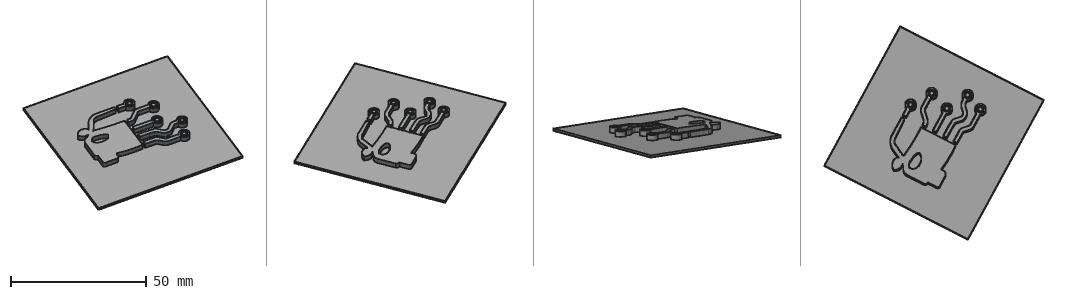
import cadquery as cq
import math

plate_side = 60
plate_thickness = 0.9

overall_height = 2.95
relief_height = overall_height - plate_thickness

trace_width = 1.5
trace_end_y = 0.1
bend_radius = 2.1
pad_radius = 2.05
groove_outer_radius = 1.3
groove_inner_radius = 0.85

outer_left_pad = (-12.4, 5.0)
middle_pad = (0.1, 9.95)

left_pad = (-7.55, 12.5)
left_bends = [(-7.75, 5.45), (-4.25, 2.0)]
tall_pad = (4.5, 18.05)
tall_bends = [(4.5, 14.15), (7.1, 11.6), (7.1, 9.35), (4.7, 6.95), (4.5, 4.2)]
right_pad = (11.2, 15.5)
right_bends = [(11.35, 7.75), (8.8, 5.2)]

body_top_y = -0.9
body_left_x = -5.0
body_right_x = 9.55
body_bottom_y = -19.3
socket_top_y = -11.6
socket_bottom_y = -18.25
socket_right_x = 11.6
hose_left_x = -13.15
hose_inner_x = -11.5
hose_tip_width = 1.25

opening_points = [
    (-0.8, -9.85),
    (0.65, -11.2),
    (1.1, -13.55),
    (0.6, -15.6),
    (-0.8, -16.5),
    (-2.2, -15.65),
    (-2.4, -13.2),
    (-2.0, -11.05),
]


def rounded_path(points, radius):
    """Polyline whose corners are replaced by tangent arcs."""
    path = cq.Workplane("XY", origin=(0, 0, plate_thickness)).moveTo(*points[0])
    for before, corner, after in zip(points, points[1:], points[2:]):
        angle_in = math.atan2(corner[1] - before[1], corner[0] - before[0])
        angle_out = math.atan2(after[1] - corner[1], after[0] - corner[0])
        setback = radius * math.tan(abs(angle_out - angle_in) / 2)
        arc_start = (corner[0] - setback * math.cos(angle_in), corner[1] - setback * math.sin(angle_in))
        arc_end = (corner[0] + setback * math.cos(angle_out), corner[1] + setback * math.sin(angle_out))
        path = path.lineTo(*arc_start).tangentArcPoint(arc_end, relative=False)
    return path.lineTo(*points[-1])


def trace(pad_center, bends=()):
    """Constant-width strip with a pad that carries an annular groove."""
    pad_x, pad_y = pad_center
    start_x = bends[0][0] if bends else pad_x
    end_x = bends[-1][0] if bends else pad_x
    path = rounded_path([(start_x, pad_y), *bends, (end_x, trace_end_y)], bend_radius)
    strip = (
        cq.Workplane("XZ", origin=(start_x, pad_y, plate_thickness))
        .center(0, relief_height / 2)
        .rect(trace_width, relief_height)
        .sweep(path)
    )
    base = cq.Workplane("XY", origin=(pad_x, pad_y, plate_thickness))
    pad = base.circle(pad_radius).extrude(relief_height)
    groove = base.circle(groove_outer_radius).circle(groove_inner_radius).extrude(relief_height)
    return strip.union(pad).cut(groove)


def plug_body():
    """Tapered body with a side socket, a foot and a hose, cut by an egg-shaped opening."""
    outline = (
        cq.Workplane("XY", origin=(0, 0, plate_thickness))
        .moveTo(body_left_x, body_top_y)
        .lineTo(body_right_x, body_top_y)
        .threePointArc((9.5, -8.1), (9.05, socket_top_y))
        .lineTo(10.45, socket_top_y)
        .threePointArc((11.3, -12.1), (socket_right_x, -13.2))
        .lineTo(socket_right_x, -17.15)
        .threePointArc((11.45, -17.9), (10.9, socket_bottom_y))
        .lineTo(7.15, socket_bottom_y)
        .threePointArc((6.8, -18.9), (6.1, body_bottom_y))
        .lineTo(-1.2, body_bottom_y)
        .threePointArc((-3, -18.5), (-3.8, -17.15))
        .lineTo(-4.5, -16.4)
        .threePointArc((-4.9, -18.85), (-6.25, -19.85))
        .threePointArc((-7.6, -18.65), (-8.1, -16.8))
        .threePointArc((-7.75, -15.65), (-6.95, -14.9))
        .lineTo(-10.5, -13.1)
        .threePointArc((-12.25, -11.35), (hose_left_x, -9.2))
        .lineTo(hose_left_x, body_top_y)
        .lineTo(hose_left_x + hose_tip_width, body_top_y)
        .lineTo(hose_inner_x, -8.6)
        .threePointArc((-11.3, -9.95), (-10.4, -11.0))
        .lineTo(-5.6, -13.55)
        .threePointArc((-5.1, -8.1), (body_left_x, body_top_y))
        .close()
    )
    opening = (
        cq.Workplane("XY", origin=(0, 0, plate_thickness))
        .spline(opening_points, periodic=True)
        .close()
        .extrude(relief_height)
    )
    return outline.extrude(relief_height).cut(opening)


plate = cq.Workplane("XY").rect(plate_side, plate_side).extrude(plate_thickness)

result = (
    plate.union(plug_body())
    .union(trace(outer_left_pad))
    .union(trace(middle_pad))
    .union(trace(left_pad, left_bends))
    .union(trace(tall_pad, tall_bends))
    .union(trace(right_pad, right_bends))
)